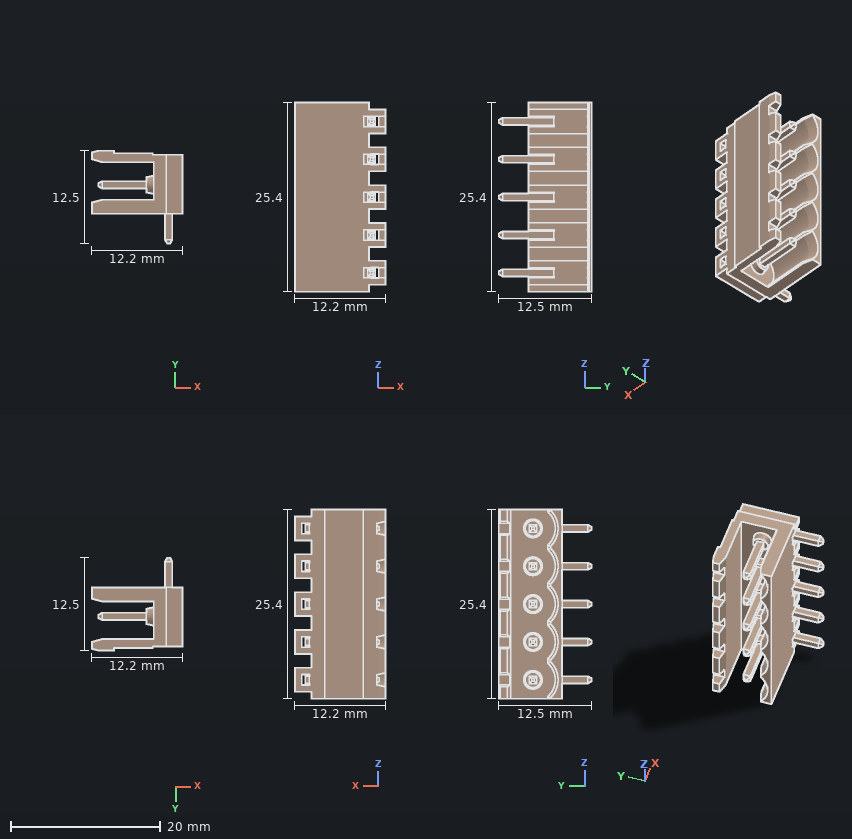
import cadquery as cq


pin_count = 5
pitch = 5.08
row_length = pin_count * pitch
pin_heights = [(i + 0.5) * pitch for i in range(pin_count)]

housing_depth = 12.2
base_width = 7.95
cavity_depth = 8.28
front_wall = 1.93
back_wall_inner = 6.9
back_wall_outer = 8.18
back_wall_length = 8.18
lead_in = 1.45
front_lip = 1.55
back_lip_inner = 7.35
back_lip_outer = 8.28

latch_top = 8.5
latch_start = 0.97
latch_end = 3.0

pin_size = 1.0
pin_axis_y = 3.9
solder_axis_x = 10.3
solder_reach = 4.0
contact_tip_x = 0.85
tip_length = 0.53
tip_size = 0.38

collar_base_radius = 1.25
collar_top_radius = 1.05
collar_height = 0.97

scallop_mouth_radius = 3.38
scallop_radius = 3.0

notch_depth = 1.17
notch_floor = 1.37
notch_mouth = 1.88

tab_start = 9.98
tab_height = 3.25
slot_start = 9.22
slot_height = 1.37
window_start = 10.24
window_end = 11.25
slot_depth = pin_axis_y - pin_size / 2


def block(x_start, x_end, y_start, y_end, z_start, z_end):
    """Box given by its limits along each axis."""
    size = (x_end - x_start, y_end - y_start, z_end - z_start)
    return cq.Workplane("XY").box(*size, centered=False).translate((x_start, y_start, z_start))


def make_housing():
    """U-shaped section with chamfered lips and a latch ridge, extruded along the row."""
    section = [
        (0, 0),
        (housing_depth, 0),
        (housing_depth, base_width),
        (back_wall_length, base_width),
        (back_wall_length, back_wall_outer),
        (latch_end, back_wall_outer),
        (latch_end, latch_top),
        (latch_start, latch_top),
        (0, back_lip_outer),
        (0, back_lip_inner),
        (lead_in, back_wall_inner),
        (cavity_depth, back_wall_inner),
        (cavity_depth, front_wall),
        (lead_in, front_wall),
        (0, front_lip),
    ]
    return cq.Workplane("XY").polyline(section).close().extrude(row_length)


def make_scallop(z):
    """Round relief with a conical mouth, kept on the -Y side of the contact."""
    profile = [
        (0, 0),
        (0, scallop_mouth_radius),
        (lead_in, scallop_radius),
        (cavity_depth, scallop_radius),
        (cavity_depth, 0),
    ]
    relief = cq.Workplane("XY").polyline(profile).close().revolve(360, (0, 0, 0), (1, 0, 0))
    lower_half = block(0, cavity_depth, -scallop_mouth_radius, 0, -pitch / 2, pitch / 2)
    return relief.intersect(lower_half).translate((0, pin_axis_y, z))


def make_notch(z):
    """Notch across the back wall, with sides that flare towards the mouth."""
    outline = [
        (0, z - notch_mouth / 2),
        (notch_depth, z - notch_floor / 2),
        (notch_depth, z + notch_floor / 2),
        (0, z + notch_mouth / 2),
    ]
    notch = cq.Workplane("XZ", origin=(0, latch_top, 0)).polyline(outline).close()
    return notch.extrude(latch_top - back_wall_inner)


def make_rear_gap(z_start, z_end):
    """Clearance between two neighbouring tabs, or beyond an end tab."""
    return block(tab_start, housing_depth, 0, base_width, z_start, z_end)


def make_pin_slot(z):
    """Slot behind a solder pin plus the window through the full housing width."""
    z_start = z - slot_height / 2
    z_end = z + slot_height / 2
    slot = block(slot_start, housing_depth, 0, slot_depth, z_start, z_end)
    window = block(window_start, window_end, 0, base_width, z_start, z_end)
    return slot.union(window)


def make_leg(plane, origin, length):
    """Square bar along the plane normal, ending in a tapered tip."""
    shank_length = length - tip_length
    shank = cq.Workplane(plane, origin=origin).rect(pin_size, pin_size).extrude(shank_length)
    tip = (
        shank.faces(cq.selectors.DirectionMinMaxSelector(cq.Plane.named(plane).zDir))
        .workplane()
        .rect(pin_size, pin_size)
        .workplane(offset=tip_length)
        .rect(tip_size, tip_size)
        .loft(combine=False)
    )
    return shank.union(tip)


def make_pin(z):
    """L-shaped pin: contact leg towards -X and solder leg towards -Y."""
    elbow_x = solder_axis_x + pin_size / 2
    elbow_y = pin_axis_y + pin_size / 2
    contact_leg = make_leg("ZY", (elbow_x, pin_axis_y, z), elbow_x - contact_tip_x)
    solder_leg = make_leg("XZ", (solder_axis_x, elbow_y, z), elbow_y + solder_reach)
    return contact_leg.union(solder_leg)


def make_collar(z):
    """Truncated cone rising from the cavity floor around a contact."""
    collar = cq.Solid.makeCone(
        collar_base_radius,
        collar_top_radius,
        collar_height,
        pnt=cq.Vector(cavity_depth, pin_axis_y, z),
        dir=cq.Vector(-1, 0, 0),
    )
    return cq.Workplane(obj=collar)


result = make_housing()
for height in pin_heights:
    result = result.cut(make_scallop(height))
    result = result.cut(make_notch(height))
    result = result.cut(make_rear_gap(height - pitch / 2, height - tab_height / 2))
    result = result.cut(make_rear_gap(height + tab_height / 2, height + pitch / 2))
    result = result.cut(make_pin_slot(height))
for height in pin_heights:
    result = result.union(make_collar(height))
    result = result.union(make_pin(height))